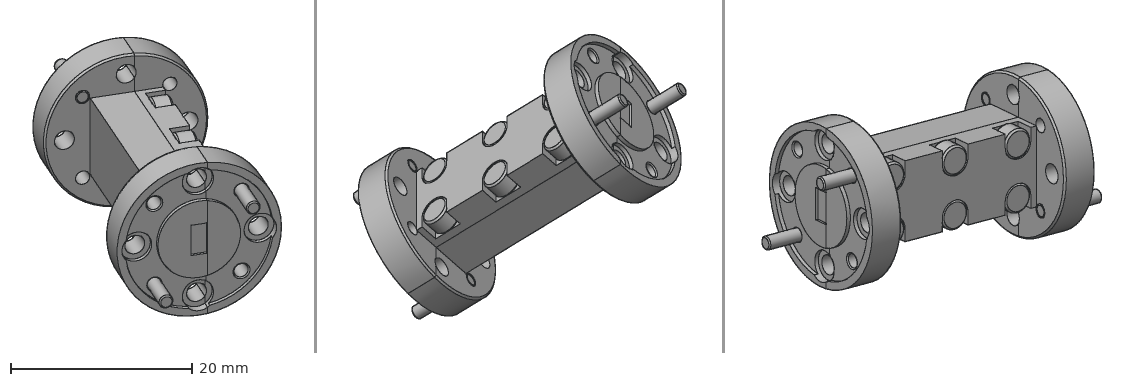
import cadquery as cq
OVERALL_LENGTH = 38.23
BODY_LENGTH = 30.47

FLANGE_DIAMETER = 19.05
FLANGE_THICKNESS = 4.05
FLANGE_CHAMFER = 0.23
RECESS_OUTER_RADIUS = 8.55
RECESS_INNER_RADIUS = 4.78
RECESS_DEPTH = 0.5

SCREW_HOLE_CIRCLE_RADIUS = 7.15
SCREW_HOLE_DIAMETER = 2.3
SCREW_COUNTERBORE_DIAMETER = 3.6
SCREW_COUNTERBORE_DEPTH = 1.0

PIN_OFFSET = 5.05
PIN_DIAMETER = 1.6
PIN_CHAMFER = 0.15
PIN_HOLE_CHAMFER = 0.08
OPEN_HOLE_DIAMETER = 1.65
OPEN_HOLE_CHAMFER = 0.15

BLOCK_HEIGHT = 9.55
BLOCK_FRONT_Y = -4.15
BLOCK_BACK_Y = 4.32
SPLIT_Y = 0.95

MOUTH_WIDTH = 1.9
MOUTH_HEIGHT = 3.8
MOUTH_DEPTH = 0.3

HEAD_PITCH = 8.65
HEAD_DIAMETER = 3.5
HEAD_CHAMFER = 0.23
HEAD_RISE = 0.2
SLOT_LENGTH = 2.35

FACE_X = BODY_LENGTH / 2
PIN_LENGTH = FLANGE_THICKNESS + (OVERALL_LENGTH - BODY_LENGTH) / 2
HEAD_RADIUS = HEAD_DIAMETER / 2
HEAD_Z = BLOCK_HEIGHT / 2 + HEAD_RISE - HEAD_RADIUS
HEAD_PLACES = [(i * HEAD_PITCH, side * HEAD_Z) for i in (-1, 0, 1) for side in (-1, 1)]
SCREW_PLACES = [
    (SCREW_HOLE_CIRCLE_RADIUS, 0),
    (-SCREW_HOLE_CIRCLE_RADIUS, 0),
    (0, SCREW_HOLE_CIRCLE_RADIUS),
    (0, -SCREW_HOLE_CIRCLE_RADIUS),
]
LEFT_PIN_PLACES = [(PIN_OFFSET, -PIN_OFFSET), (-PIN_OFFSET, PIN_OFFSET)]
RIGHT_PIN_PLACES = [(PIN_OFFSET, PIN_OFFSET), (-PIN_OFFSET, -PIN_OFFSET)]


def plane_at(x):
    """Plane square to X whose local axes are Y and Z."""
    return cq.Workplane("YZ", origin=(x, 0, 0))


def make_round_cutters(places, diameter, depth):
    """Cylinders that start at the mating face of the left flange and run into it."""
    return plane_at(-FACE_X).pushPoints(places).circle(diameter / 2).extrude(depth)


def make_countersinks(places, hole_diameter, chamfer):
    """Cones that bevel the mouths of holes in the floor of the left flange's recess."""
    hole_radius = hole_diameter / 2
    cone = cq.Solid.makeCone(hole_radius + chamfer, hole_radius, chamfer, dir=cq.Vector(1, 0, 0))
    floor_x = -FACE_X + RECESS_DEPTH
    cones = [cone.moved(cq.Location((floor_x, y, z))) for y, z in places]
    return cq.Workplane(cq.Compound.makeCompound(cones))


def make_left_flange(pin_places, open_places):
    """Flange at the -X end, with its mating face at X = -FACE_X."""
    face = plane_at(-FACE_X)
    flange = face.circle(FLANGE_DIAMETER / 2).extrude(FLANGE_THICKNESS)
    flange = flange.faces(">X").chamfer(FLANGE_CHAMFER)
    recess = face.circle(RECESS_OUTER_RADIUS).circle(RECESS_INNER_RADIUS).extrude(RECESS_DEPTH)
    counterbores = make_round_cutters(SCREW_PLACES, SCREW_COUNTERBORE_DIAMETER, SCREW_COUNTERBORE_DEPTH)
    screw_holes = make_round_cutters(SCREW_PLACES, SCREW_HOLE_DIAMETER, FLANGE_THICKNESS)
    pin_holes = make_round_cutters(pin_places, PIN_DIAMETER, FLANGE_THICKNESS)
    open_holes = make_round_cutters(open_places, OPEN_HOLE_DIAMETER, FLANGE_THICKNESS)
    pin_bevels = make_countersinks(pin_places, PIN_DIAMETER, PIN_HOLE_CHAMFER)
    open_bevels = make_countersinks(open_places, OPEN_HOLE_DIAMETER, OPEN_HOLE_CHAMFER)
    mouth_y = SPLIT_Y - MOUTH_WIDTH / 2
    mouth = face.center(mouth_y, 0).rect(MOUTH_WIDTH, MOUTH_HEIGHT).extrude(MOUTH_DEPTH)
    for cutter in (recess, counterbores, screw_holes, pin_holes, open_holes, pin_bevels, open_bevels, mouth):
        flange = flange.cut(cutter)
    return flange


def make_block():
    """Rectangular bar that joins the two flanges."""
    length = BODY_LENGTH - 2 * FLANGE_THICKNESS
    depth = BLOCK_BACK_Y - BLOCK_FRONT_Y
    return cq.Workplane("XY").box(length, depth, BLOCK_HEIGHT).translate(
        (0, (BLOCK_BACK_Y + BLOCK_FRONT_Y) / 2, 0)
    )


def make_whole_body():
    """Both flanges and the block, before they are split into front and rear halves."""
    left = make_left_flange(LEFT_PIN_PLACES, RIGHT_PIN_PLACES)
    right = make_left_flange(RIGHT_PIN_PLACES, LEFT_PIN_PLACES).mirror("YZ")
    return left.union(make_block()).union(right)


def make_half_space(rear):
    """Box that covers everything on one side of the split plane."""
    size = 2 * BODY_LENGTH
    shift = size / 2 if rear else -size / 2
    return cq.Workplane("XY").box(size, size, size).translate((0, SPLIT_Y + shift, 0))


def make_screw_slot(x, z):
    """Slot with a round bottom, open to the back and to the nearer edge of the block."""
    back = cq.Workplane("XZ", origin=(x, BLOCK_BACK_Y, z))
    rise = HEAD_DIAMETER if z > 0 else -HEAD_DIAMETER
    bottom = back.circle(HEAD_RADIUS).extrude(SLOT_LENGTH)
    opening = back.center(0, rise / 2).rect(HEAD_DIAMETER, HEAD_DIAMETER).extrude(SLOT_LENGTH)
    return bottom.union(opening)


def make_screw_head(x, z):
    """Round screw head, bevelled at both ends, that rests in its slot."""
    head = cq.Workplane("XZ", origin=(x, BLOCK_BACK_Y, z)).circle(HEAD_RADIUS).extrude(SLOT_LENGTH)
    return head.faces("<Y or >Y").chamfer(HEAD_CHAMFER)


def make_front_half():
    """Half that carries the waveguide mouths."""
    return make_whole_body().intersect(make_half_space(rear=False))


def make_rear_half():
    """Rear half with the clamp screw heads as part of it."""
    half = make_whole_body().intersect(make_half_space(rear=True))
    for x, z in HEAD_PLACES:
        half = half.cut(make_screw_slot(x, z)).union(make_screw_head(x, z))
    return half


def make_pin(side, y, z):
    """Pin of the flange on the given side (-1 or 1), ending at the inner face of the flange."""
    inner_x = FACE_X - FLANGE_THICKNESS
    base = plane_at(side * inner_x).center(y, z)
    pin = base.circle(PIN_DIAMETER / 2).extrude(side * PIN_LENGTH)
    return pin.faces("|X").chamfer(PIN_CHAMFER)


front_half = make_front_half()
rear_half = make_rear_half()
pins = [make_pin(-1, y, z) for y, z in LEFT_PIN_PLACES]
pins += [make_pin(1, y, z) for y, z in RIGHT_PIN_PLACES]

halves = [front_half.solids().val(), rear_half.solids().val()]
result = cq.Compound.makeCompound(halves + [pin.val() for pin in pins])